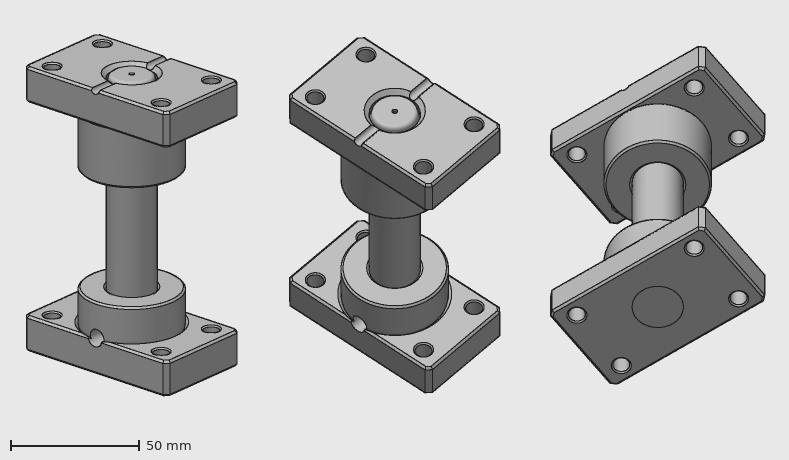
import cadquery as cq
import math

total_height = 120.3
plate_thickness = 15.0
collar_height = 14.9
sleeve_height = 25.0

plate_length = 74.0
plate_width = 44.0
corner_chamfer = 2.0
edge_chamfer = 1.0
bolt_spacing_x = 56.0
bolt_spacing_y = 30.0
bolt_hole_diameter = 6.6
bolt_hole_chamfer = 0.6

boss_diameter = 42.0
boss_chamfer = 0.8
bore_mouth_chamfer = 1.0

relief_width = 1.2
relief_depth = 1.5

neck_height = 0.4
neck_depth = 0.6

pillar_diameter = 20.0
pillar_height = 119.9
pillar_lead_length = 2.4
pillar_lead_width = 0.7
pillar_top_fillet = 1.8
center_hole_diameter = 1.2
center_hole_depth = 2.4
center_hole_chamfer = 0.5

top_mouth_chamfer = 1.9
channel_width = 4.0

radial_hole_diameter = 7.0
groove_floor_width = 5.8
groove_depth = 0.7

boss_radius = boss_diameter / 2
pillar_radius = pillar_diameter / 2


def countersink(bore_radius, size, mouth_z, x=0, y=0, up=True):
    """Cutter for a 45-degree chamfer at the mouth of a vertical bore that opens up or down."""
    into_bore = cq.Vector(0, 0, -1 if up else 1)
    mouth = cq.Vector(x, y, mouth_z)
    return cq.Workplane(obj=cq.Solid.makeCone(bore_radius + size, bore_radius, size, mouth, into_bore))


def make_plate():
    """Chamfered plate standing on Z = 0, with four bolt holes chamfered at both ends."""
    plate = (
        cq.Workplane("XY")
        .box(plate_length, plate_width, plate_thickness, centered=(True, True, False))
        .edges("|Z")
        .chamfer(corner_chamfer)
        .faces("<Z or >Z")
        .edges()
        .chamfer(edge_chamfer)
    )
    bolt_radius = bolt_hole_diameter / 2
    for x in (-bolt_spacing_x / 2, bolt_spacing_x / 2):
        for y in (-bolt_spacing_y / 2, bolt_spacing_y / 2):
            plate = plate.cut(cq.Workplane("XY").center(x, y).circle(bolt_radius).extrude(plate_thickness))
            plate = plate.cut(countersink(bolt_radius, bolt_hole_chamfer, plate_thickness, x, y))
            plate = plate.cut(countersink(bolt_radius, bolt_hole_chamfer, 0, x, y, up=False))
    return plate


def make_housing(boss_height):
    """Plate on Z = 0 with a round boss on its upper face, bored through for the pillar."""
    housing_height = plate_thickness + boss_height
    boss = (
        cq.Workplane("XY", origin=(0, 0, plate_thickness))
        .circle(boss_radius)
        .extrude(boss_height)
        .faces(">Z")
        .edges()
        .chamfer(boss_chamfer)
    )
    bore = cq.Workplane("XY").circle(pillar_radius).extrude(housing_height)
    mouth = countersink(pillar_radius, bore_mouth_chamfer, housing_height)
    return make_plate().union(boss).cut(bore).cut(mouth)


def make_lower_housing():
    """Lower plate and collar, with a relief around the collar and a radial hole from the -Y side."""
    relief_outer_radius = boss_radius + relief_width
    relief = (
        cq.Workplane("XZ")
        .moveTo(boss_radius, plate_thickness)
        .lineTo(relief_outer_radius, plate_thickness)
        .lineTo(relief_outer_radius - relief_depth, plate_thickness - relief_depth)
        .close()
        .revolve(axisStart=(0, 0), axisEnd=(0, 1))
    )
    radial_hole = (
        cq.Workplane("XZ", origin=(0, 0, plate_thickness))
        .transformed(rotate=(0, 0, 90))
        .circle(radial_hole_diameter / 2)
        .extrude(plate_width)
    )
    return make_housing(collar_height).cut(relief).cut(radial_hole)


def make_upper_housing():
    """Upper plate and hanging sleeve, with a neck between them and a channel across the top."""
    neck = (
        cq.Workplane("XY", origin=(0, 0, plate_thickness))
        .circle(boss_radius)
        .circle(boss_radius - neck_depth)
        .extrude(neck_height)
    )
    channel = cq.Workplane("XZ").circle(channel_width / 2).extrude(plate_width, both=True)
    mouth = countersink(pillar_radius, top_mouth_chamfer, 0, up=False)
    housing = make_housing(sleeve_height).cut(neck).cut(channel).cut(mouth)
    return housing.rotate((0, 0, 0), (1, 0, 0), 180).translate((0, 0, total_height))


def make_pillar():
    """Pillar with a tapered, rounded top, a centre hole, and a groove level with the radial hole."""
    lead_top_radius = pillar_radius - pillar_lead_width
    shoulder_z = pillar_height - pillar_top_fillet
    lead_start_z = shoulder_z - pillar_lead_length
    groove_radius = pillar_radius - groove_depth
    half_floor = groove_floor_width / 2
    half_mouth = half_floor + groove_depth
    arc_offset = pillar_top_fillet * math.sqrt(0.5)
    arc_center_radius = lead_top_radius - pillar_top_fillet
    arc_middle = (arc_center_radius + arc_offset, shoulder_z + arc_offset)
    pillar = (
        cq.Workplane("XZ")
        .lineTo(pillar_radius, 0)
        .lineTo(pillar_radius, plate_thickness - half_mouth)
        .lineTo(groove_radius, plate_thickness - half_floor)
        .lineTo(groove_radius, plate_thickness + half_floor)
        .lineTo(pillar_radius, plate_thickness + half_mouth)
        .lineTo(pillar_radius, lead_start_z)
        .lineTo(lead_top_radius, shoulder_z)
        .threePointArc(arc_middle, (arc_center_radius, pillar_height))
        .lineTo(0, pillar_height)
        .close()
        .revolve(axisStart=(0, 0), axisEnd=(0, 1))
    )
    center_radius = center_hole_diameter / 2
    center_hole = (
        cq.Workplane("XY", origin=(0, 0, pillar_height))
        .circle(center_radius)
        .extrude(-center_hole_depth)
    )
    return pillar.cut(center_hole).cut(countersink(center_radius, center_hole_chamfer, pillar_height))


lower_housing = make_lower_housing()
upper_housing = make_upper_housing()
pillar = make_pillar()

result = cq.Compound.makeCompound([lower_housing.val(), upper_housing.val(), pillar.val()])